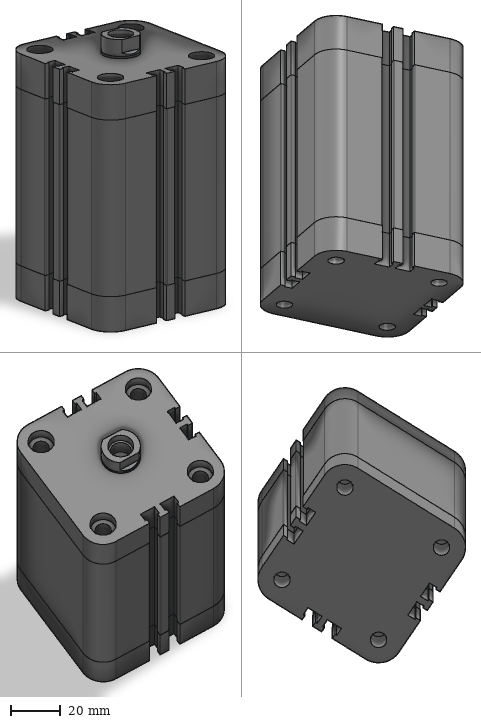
import cadquery as cq
import math

total_height = 113.0
body_width = 66.0
cap_height = 15.0
rod_projection = 8.0

corner_radius = 9.7
tie_hole_diameter = 6.5
tie_counterbore_diameter = 10.5
tie_counterbore_depth = 5.0

slot_face_angles = (-90, 90, 0)
slot_spacing = 9.4
slot_mouth_width = 5.1
slot_inner_width = 6.7
slot_lip_thickness = 2.0
slot_depth = 5.5
barrel_mouth_radius = 0.3

rod_diameter = 15.8
rod_collar_diameter = 16.0
rod_collar_projection = 0.9
flat_width = 13.0
flat_height = 5.6
flat_runout_angle = 30.0
rod_counterbore_diameter = 10.3
rod_counterbore_depth = 4.1
rod_bore_diameter = 8.5
rod_bore_depth = 11.3

half_width = body_width / 2
tie_offset = half_width - corner_radius
tie_points = [(x, y) for x in (-tie_offset, tie_offset) for y in (-tie_offset, tie_offset)]
body_height = total_height - rod_projection
barrel_height = body_height - 2 * cap_height
top_cap_base = body_height - cap_height
rod_length = cap_height + rod_projection


def cylinder(diameter, height):
    """Upright cylinder standing on Z = 0."""
    return cq.Workplane("XY").circle(diameter / 2).extrude(height)


def slot_cutter(x, height):
    """T-shaped slot opening on the -Y face, centred at x."""
    mouth_half = slot_mouth_width / 2
    inner_half = slot_inner_width / 2
    lip_y = slot_lip_thickness - half_width
    floor_y = slot_depth - half_width
    profile = cq.Workplane("XY").polyline([
        (x - mouth_half, -half_width),
        (x - mouth_half, lip_y),
        (x - inner_half, lip_y),
        (x - inner_half, floor_y),
        (x + inner_half, floor_y),
        (x + inner_half, lip_y),
        (x + mouth_half, lip_y),
        (x + mouth_half, -half_width),
    ])
    return profile.close().extrude(height)


def body_section(height):
    """Rounded square block with sensor slots and through tie holes, standing on Z = 0."""
    section = cq.Workplane("XY").rect(body_width, body_width).extrude(height)
    section = section.edges("|Z").fillet(corner_radius)
    for angle in slot_face_angles:
        for x in (-slot_spacing / 2, slot_spacing / 2):
            slot = slot_cutter(x, height).rotate((0, 0, 0), (0, 0, 1), angle)
            section = section.cut(slot)
    tie_holes = cq.Workplane("XY").pushPoints(tie_points).circle(tie_hole_diameter / 2).extrude(height)
    return section.cut(tie_holes)


def is_slot_edge(edge):
    """True for an edge near the middle of a side face, away from the rounded corners."""
    center = edge.Center()
    return min(abs(center.x), abs(center.y)) < slot_spacing


def make_bottom_cap():
    return body_section(cap_height)


def make_barrel():
    """Middle section, with the outer edges of its slot mouths rounded."""
    barrel = body_section(barrel_height)
    mouth_edges = barrel.faces("<X or >X or <Y").edges("|Z").filter(is_slot_edge)
    barrel = mouth_edges.fillet(barrel_mouth_radius)
    return barrel.translate((0, 0, cap_height))


def make_top_cap():
    """Upper end section, with counterbored tie holes and the guide hole for the rod."""
    cap = body_section(cap_height)
    counterbores = cap.faces(">Z").workplane(origin=(0, 0, 0)).pushPoints(tie_points)
    cap = counterbores.circle(tie_counterbore_diameter / 2).cutBlind(-tie_counterbore_depth)
    cap = cap.cut(cylinder(rod_collar_diameter, cap_height))
    return cap.translate((0, 0, top_cap_base))


def flat_cutter(side):
    """Removes one wrench flat, with a runout that slopes down and outward."""
    flat_x = flat_width / 2
    outer_x = rod_collar_diameter / 2
    flat_base = rod_length - flat_height
    runout_drop = (outer_x - flat_x) * math.tan(math.radians(flat_runout_angle))
    profile = cq.Workplane("XZ").polyline([
        (side * flat_x, rod_length),
        (side * flat_x, flat_base),
        (side * outer_x, flat_base - runout_drop),
        (side * outer_x, rod_length),
    ])
    return profile.close().extrude(rod_diameter, both=True)


def make_piston_rod():
    """Rod filling the guide hole, with wrench flats and a counterbored end bore."""
    rod = cylinder(rod_diameter, rod_length)
    rod = rod.union(cylinder(rod_collar_diameter, cap_height + rod_collar_projection))
    for side in (-1, 1):
        rod = rod.cut(flat_cutter(side))
    rod = rod.faces(">Z").workplane(origin=(0, 0, 0)).cboreHole(
        rod_bore_diameter, rod_counterbore_diameter, rod_counterbore_depth, rod_bore_depth
    )
    return rod.translate((0, 0, top_cap_base))


bottom_cap = make_bottom_cap()
barrel = make_barrel()
top_cap = make_top_cap()
piston_rod = make_piston_rod()

result = cq.Compound.makeCompound([bottom_cap.val(), barrel.val(), top_cap.val(), piston_rod.val()])